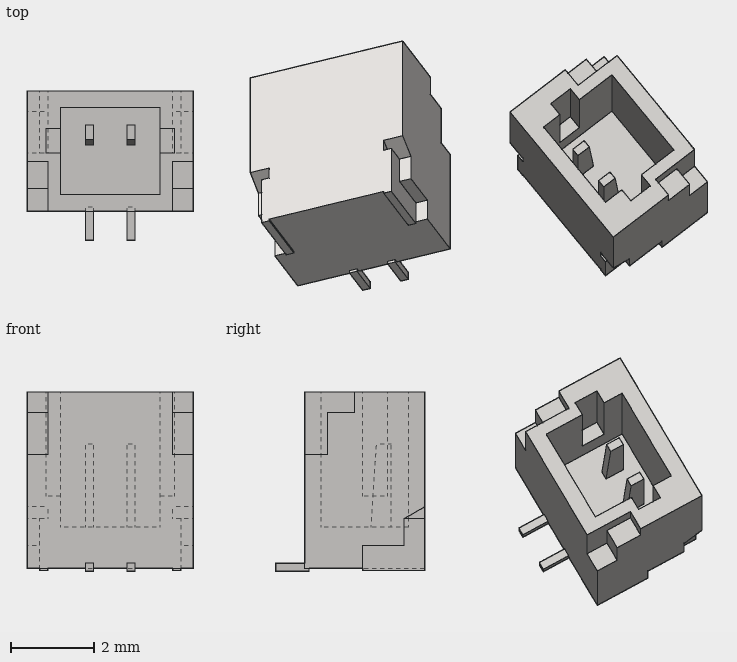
import math

import cadquery as cq


WIDTH = 4.0
LENGTH = 2.9
HEIGHT = 4.25
HALF_WIDTH = WIDTH / 2
FRONT = -LENGTH

REAR_WALL = 0.4
FRONT_WALL = 0.4
CAVITY_WIDTH = 2.4
CAVITY_DEPTH = 3.25
SLOT_SPAN = 3.1
SLOT_REAR = 0.9
SLOT_LENGTH = 0.6
SLOT_DEPTH = 2.5

NOTCH_WIDTH = 0.5
UPPER_STEP_LENGTH = 1.2
UPPER_STEP_DEPTH = 0.5
LOWER_STEP_LENGTH = 0.55
LOWER_STEP_DEPTH = 1.5

TAB_THICKNESS = 0.2
TAB_INSET = 0.3
TAB_TOP = 1.2
TAB_FOOT_TOP = 0.55
TAB_UPRIGHT_LENGTH = 0.5
TAB_FOOT_LENGTH = 1.5
TAB_PROTRUSION = 0.05
RECESS_DEPTH = TAB_INSET + TAB_THICKNESS
RECESS_ROOF_ANGLE = math.radians(30)
RECESS_ROOF_RISE = TAB_UPRIGHT_LENGTH * math.tan(RECESS_ROOF_ANGLE)

PIN_PITCH = 1.0
PIN_WIDTH = 0.2
PIN_REAR = 0.82
PIN_ROOT_LENGTH = 0.48
PIN_TIP = 3.0
PIN_TIP_LENGTH = 0.35
TAIL_THICKNESS = 0.2
TAIL_REACH = 0.7
TAIL_OVERLAP = 0.11
TAIL_BOTTOM = -0.07


def box(x_min, x_max, y_min, y_max, z_min, z_max):
    """Axis-aligned block between two opposite corners."""
    size = (x_max - x_min, y_max - y_min, z_max - z_min)
    return cq.Workplane("XY").box(*size, centered=False).translate((x_min, y_min, z_min))


def side_plate(profile, x_min, thickness):
    """Closed (Y, Z) profile extruded along +X from x_min."""
    return cq.Workplane("YZ").workplane(offset=x_min).polyline(profile).close().extrude(thickness)


def both_sides(shape):
    """The shape together with its mirror image across the YZ plane."""
    return shape.union(shape.mirror("YZ"))


def make_cavity():
    half_cavity = CAVITY_WIDTH / 2
    half_span = SLOT_SPAN / 2
    main = box(-half_cavity, half_cavity, FRONT + FRONT_WALL, -REAR_WALL, HEIGHT - CAVITY_DEPTH, HEIGHT)
    slots = box(-half_span, half_span, -SLOT_REAR - SLOT_LENGTH, -SLOT_REAR, HEIGHT - SLOT_DEPTH, HEIGHT)
    return main.union(slots)


def make_corner_notches():
    profile = [
        (FRONT, HEIGHT),
        (FRONT + UPPER_STEP_LENGTH, HEIGHT),
        (FRONT + UPPER_STEP_LENGTH, HEIGHT - UPPER_STEP_DEPTH),
        (FRONT + LOWER_STEP_LENGTH, HEIGHT - UPPER_STEP_DEPTH),
        (FRONT + LOWER_STEP_LENGTH, HEIGHT - LOWER_STEP_DEPTH),
        (FRONT, HEIGHT - LOWER_STEP_DEPTH),
    ]
    return both_sides(side_plate(profile, -HALF_WIDTH, NOTCH_WIDTH))


def l_profile(rear_top, bottom):
    """L-shaped outline whose upright rises to rear_top at the rear face."""
    return [
        (0, bottom),
        (0, rear_top),
        (-TAB_UPRIGHT_LENGTH, TAB_TOP),
        (-TAB_UPRIGHT_LENGTH, TAB_FOOT_TOP),
        (-TAB_FOOT_LENGTH, TAB_FOOT_TOP),
        (-TAB_FOOT_LENGTH, bottom),
    ]


def make_tab_recesses():
    profile = l_profile(TAB_TOP + RECESS_ROOF_RISE, 0)
    return both_sides(side_plate(profile, -HALF_WIDTH, RECESS_DEPTH))


def make_tabs():
    profile = l_profile(TAB_TOP, -TAB_PROTRUSION)
    return both_sides(side_plate(profile, -HALF_WIDTH + TAB_INSET, TAB_THICKNESS))


def make_pin(x_centre):
    """Post tapering from the cavity floor to its tip, plus the flat tail in front of the housing."""
    x_min = x_centre - PIN_WIDTH / 2
    floor = HEIGHT - CAVITY_DEPTH
    post_profile = [
        (-PIN_REAR, floor),
        (-PIN_REAR, PIN_TIP),
        (-PIN_REAR - PIN_TIP_LENGTH, PIN_TIP),
        (-PIN_REAR - PIN_ROOT_LENGTH, floor),
    ]
    post = side_plate(post_profile, x_min, PIN_WIDTH)
    tail = box(
        x_min,
        x_min + PIN_WIDTH,
        FRONT - TAIL_REACH,
        FRONT + TAIL_OVERLAP,
        TAIL_BOTTOM,
        TAIL_BOTTOM + TAIL_THICKNESS,
    )
    return post.union(tail)


housing = box(-HALF_WIDTH, HALF_WIDTH, FRONT, 0, 0, HEIGHT)
housing = housing.cut(make_cavity()).cut(make_corner_notches()).cut(make_tab_recesses())

result = housing.union(make_tabs())
for pin_x in (-PIN_PITCH / 2, PIN_PITCH / 2):
    result = result.union(make_pin(pin_x))